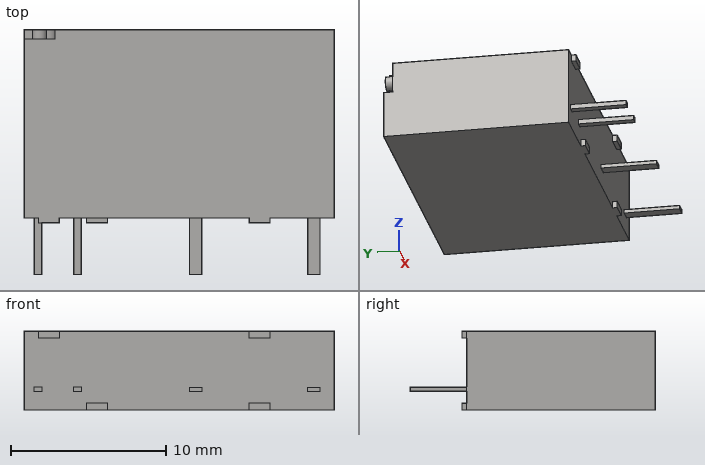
import cadquery as cq

length = 20.0
height = 5.08
overall_depth = 15.8
pin_length = 3.65
body_depth = overall_depth - pin_length

pin_pitch = 2.55
first_pin_x = 0.9
pin_bottom = 1.2
narrow_pin = (0.5, 0.3)
wide_pin = (0.8, 0.25)
pins = [(0, narrow_pin), (1, narrow_pin), (4, wide_pin), (7, wide_pin)]

tab_width = 1.35
tab_height = 0.45
tab_projection = 0.3
right_tab_x = 14.5
top_tabs_x = [0.92, right_tab_x]
bottom_tabs_x = [4.02, right_tab_x]

notch_size = 2.0
notch_depth = 0.6
notch_corner_radius = notch_size / 2
stud_radius = 0.45


def block_on_pin_face(x, z, width, thickness, projection):
    """Block from x, z that projects from the pin face toward -Y."""
    return cq.Workplane("XY").box(width, projection, thickness, centered=False).translate((x, -projection, z))


def corner_notch():
    """Cutter for the -X, +Y, +Z corner that leaves the stud standing at the notch center."""
    center_x = notch_size / 2
    center_z = height - notch_size / 2
    block = (
        cq.Workplane("XZ", origin=(center_x, body_depth, center_z))
        .rect(notch_size, notch_size)
        .extrude(notch_depth)
        .edges("|Y and >X and <Z")
        .fillet(notch_corner_radius)
    )
    stud = cq.Workplane("XZ", origin=(center_x, body_depth, center_z)).circle(stud_radius).extrude(notch_depth)
    return block.cut(stud)


result = cq.Workplane("XY").box(length, body_depth, height, centered=False)
result = result.cut(corner_notch())

for x in top_tabs_x:
    result = result.union(block_on_pin_face(x, height - tab_height, tab_width, tab_height, tab_projection))
for x in bottom_tabs_x:
    result = result.union(block_on_pin_face(x, 0, tab_width, tab_height, tab_projection))

for pitch_steps, (width, thickness) in pins:
    pin_x = first_pin_x + pitch_steps * pin_pitch - width / 2
    result = result.union(block_on_pin_face(pin_x, pin_bottom, width, thickness, pin_length))